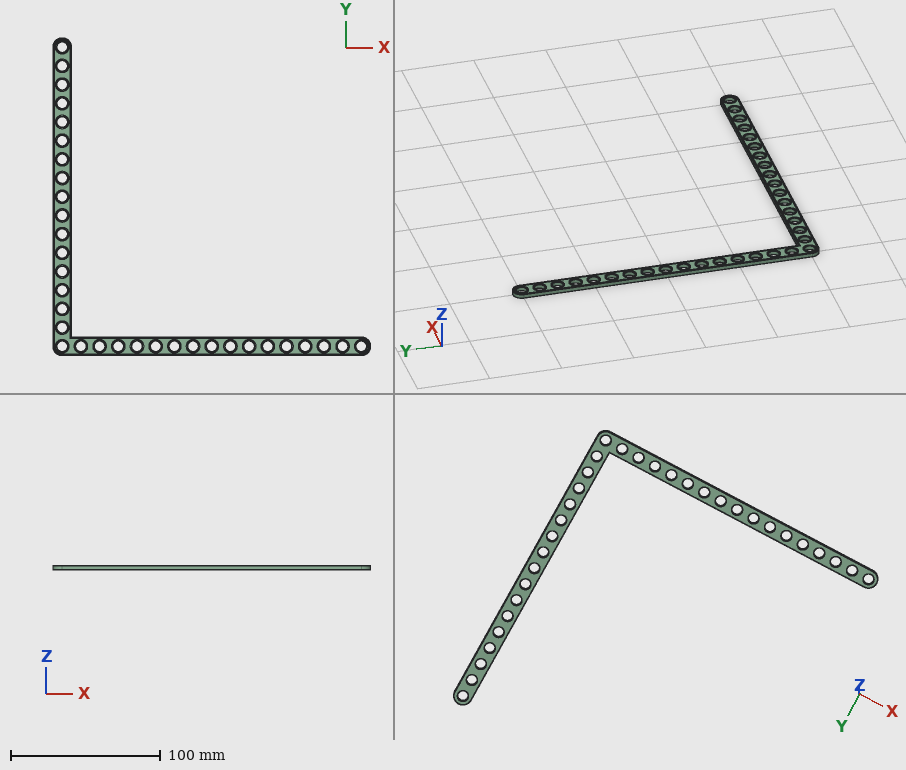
import cadquery as cq

arm_length = 212.5
hole_count = 17
thickness = 3.2
hole_diameter = 7.0
ring_diameter = 9.1
edge_chamfer = 0.32
recess_depth = 0.2

pitch = arm_length / hole_count
arm_width = pitch
hole_span = pitch * (hole_count - 1)
rim_width = (ring_diameter - hole_diameter) / 2
recess_floor = thickness - recess_depth

hole_centers = [(index * pitch, 0) for index in range(hole_count)]
hole_centers += [(0, index * pitch) for index in range(1, hole_count)]


def angle_slab(inset, bottom, height):
    """L of two round-ended bars, its outline moved inward by the inset."""
    length = arm_length - 2 * inset
    width = arm_width - 2 * inset
    plane = cq.Workplane("XY", origin=(0, 0, bottom))
    x_arm = plane.center(hole_span / 2, 0).slot2D(length, width).extrude(height)
    y_arm = plane.center(0, hole_span / 2).slot2D(length, width, 90).extrude(height)
    return x_arm.union(y_arm)


def hole_cutter():
    """Through hole at the origin, flared by a chamfer at both faces."""
    radius = hole_diameter / 2
    flared_radius = radius + edge_chamfer
    half_profile = [
        (0, 0),
        (flared_radius, 0),
        (radius, edge_chamfer),
        (radius, thickness - edge_chamfer),
        (flared_radius, thickness),
        (0, thickness),
    ]
    return cq.Workplane("XZ").polyline(half_profile).close().revolve(360, (0, 0, 0), (0, 1, 0)).val()


plate = angle_slab(0, 0, thickness).faces("|Z").chamfer(edge_chamfer)

rings = (
    cq.Workplane("XY", origin=(0, 0, recess_floor))
    .pushPoints(hole_centers)
    .circle(ring_diameter / 2)
    .extrude(recess_depth)
)
recess = angle_slab(rim_width, recess_floor, recess_depth).cut(rings)
plate = plate.cut(recess)

single_hole = hole_cutter()
holes = cq.Workplane("XY").pushPoints(hole_centers).eachpoint(lambda place: single_hole.moved(place))
result = plate.cut(holes)